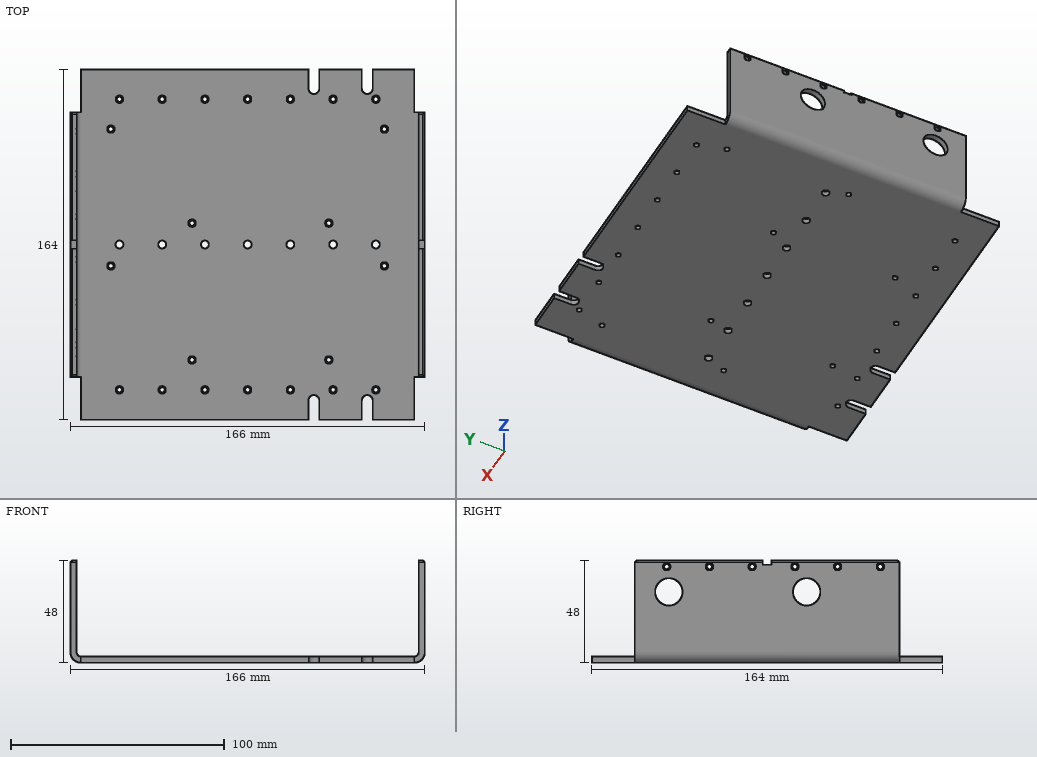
import cadquery as cq

thickness = 3.0
outer_bend_radius = 5.0
inner_bend_radius = outer_bend_radius - thickness

outer_width = 166.0
base_length = 164.0
flange_length = 124.0
height = 48.0
base_width = outer_width - 2 * outer_bend_radius

rim_chamfer = 1.0

notch_width = 4.0
notch_depth = 2.0

screw_diameter = 2.4
countersink_diameter = 3.6
countersink_angle = 90.0

row_pitch = 20.0
holes_per_row = 7
row_offset = 68.0
middle_hole_diameter = 3.6

mount_pitch_y = 64.0
mount_offset_y = 22.0
wide_pattern_pitch_x = 128.0
narrow_pattern_pitch_x = 64.0
narrow_pattern_center_x = 6.0

slot_width = 5.0
slot_depth = 11.5
slot_positions_x = (31.0, 56.0)

flange_screw_pitch = 20.0
flange_screw_count = 6
flange_screw_center_y = 3.0
flange_screw_z = 45.0
port_diameter = 12.7
port_positions_y = (18.5, -46.0)
port_z = 33.2


def centered_steps(count, pitch):
    """Evenly spaced positions, symmetric about zero."""
    return [(index - (count - 1) / 2) * pitch for index in range(count)]


def rectangle_corners(center_x, center_y, pitch_x, pitch_y):
    """Corner points of a rectangular hole pattern."""
    return [
        (center_x + dx, center_y + dy)
        for dx in centered_steps(2, pitch_x)
        for dy in centered_steps(2, pitch_y)
    ]


def make_base():
    return cq.Workplane("XY").box(base_width, base_length, thickness, centered=(True, True, False))


def make_trough(width, floor_z, bend_radius):
    """Block from floor_z up to the rim, with rounded bottom edges along Y."""
    block = cq.Workplane("XY", origin=(0, 0, floor_z)).box(
        width, flange_length, height - floor_z, centered=(True, True, False)
    )
    return block.edges("|Y and <Z").fillet(bend_radius)


def make_flanges():
    """U-shaped section that forms both flanges and their bends."""
    outer = make_trough(outer_width, 0, outer_bend_radius)
    inner = make_trough(outer_width - 2 * thickness, thickness, inner_bend_radius)
    return outer.faces(">Z").edges().chamfer(rim_chamfer).cut(inner)


def drill_countersunk(body, plane, points):
    """Countersunk holes through the sheet, sunk from the face on the given plane."""
    return (
        body.copyWorkplane(cq.Workplane(plane))
        .pushPoints(points)
        .cskHole(screw_diameter, countersink_diameter, countersink_angle, depth=thickness)
    )


def drill_base(body):
    row = centered_steps(holes_per_row, row_pitch)
    points = [(x, y) for x in row for y in (-row_offset, row_offset)]
    points += rectangle_corners(0, mount_offset_y, wide_pattern_pitch_x, mount_pitch_y)
    points += rectangle_corners(
        narrow_pattern_center_x, -mount_offset_y, narrow_pattern_pitch_x, mount_pitch_y
    )
    body = drill_countersunk(body, cq.Plane.XY(origin=(0, 0, thickness)), points)
    middle_points = [(x, 0) for x in row]
    middle_row = cq.Workplane("XY").pushPoints(middle_points).circle(middle_hole_diameter / 2).extrude(thickness)
    return body.cut(middle_row)


def cut_base_slots(body):
    points = [(x, side * base_length / 2) for x in slot_positions_x for side in (-1, 1)]
    slots = cq.Workplane("XY").pushPoints(points).slot2D(2 * slot_depth, slot_width, 90).extrude(thickness)
    return body.cut(slots)


def cut_flange_ports(body):
    points = [(y, port_z) for y in port_positions_y]
    ports = cq.Workplane("YZ").pushPoints(points).circle(port_diameter / 2).extrude(outer_width / 2, both=True)
    return body.cut(ports)


def cut_rim_notches(body):
    notch = cq.Workplane("XY", origin=(0, 0, height - notch_depth)).box(
        outer_width, notch_width, notch_depth, centered=(True, True, False)
    )
    return body.cut(notch)


def drill_flange_rims(body):
    steps = centered_steps(flange_screw_count, flange_screw_pitch)
    for side in (-1, 1):
        plane = cq.Plane(origin=(side * outer_width / 2, 0, 0), xDir=(0, 1, 0), normal=(side, 0, 0))
        points = [(flange_screw_center_y + step, side * flange_screw_z) for step in steps]
        body = drill_countersunk(body, plane, points)
    return body


result = make_base().union(make_flanges())
result = drill_base(result)
result = cut_base_slots(result)
result = cut_flange_ports(result)
result = cut_rim_notches(result)
result = drill_flange_rims(result)